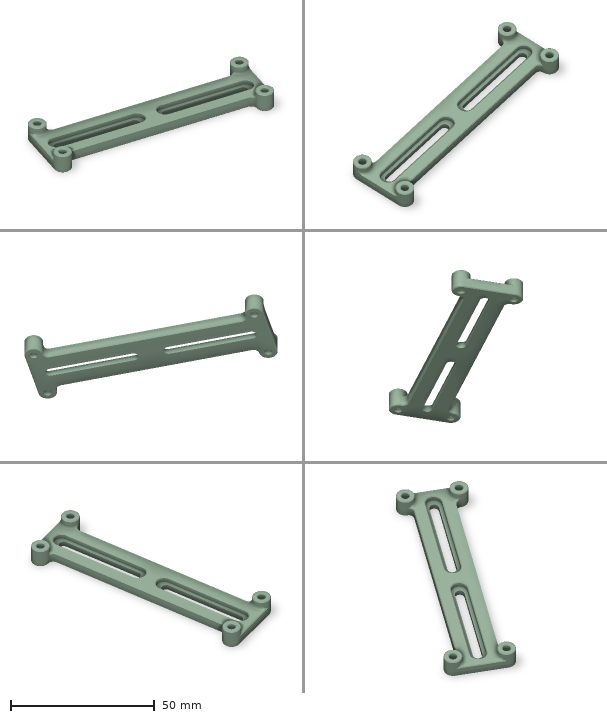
import cadquery as cq
import math

overall_x = 25.6
overall_y = 85.91
post_height = 7.0

plate_thickness = 4.0
bar_width = 15.0
corner_radius = 2.0
edge_chamfer = 0.3
bevel_angle = 45

post_diameter = 6.5
hole_diameter = 2.8
foot_radius = 1.0
foot_top = plate_thickness + foot_radius
post_radius = post_diameter / 2
post_x = overall_x / 2 - post_radius
post_y = overall_y / 2 - post_radius
post_centers = [(sx * post_x, sy * post_y) for sx in (-1, 1) for sy in (-1, 1)]

half_bar = bar_width / 2
blend_x = half_bar + corner_radius
center_distance = post_radius + corner_radius
blend_y = post_y - math.sqrt(center_distance**2 - (blend_x - post_x) ** 2)

slot_center_y = 21.3
slot_width = 3.4
slot_length = 33.4
recess_width = 5.9
recess_length = 37.5
recess_depth = 2.0


def make_outline(height):
    """Bar whose corners end inside the posts, with concave blends, from z = 0 to the given height."""
    share = post_radius / center_distance
    post_tangent = (post_x + share * (blend_x - post_x), post_y + share * (blend_y - post_y))

    end_angle = math.atan2(post_y - blend_y, post_x - blend_x)
    middle_angle = (end_angle + math.pi) / 2
    blend_middle = (
        blend_x + corner_radius * math.cos(middle_angle),
        blend_y + corner_radius * math.sin(middle_angle),
    )
    quarter = (
        cq.Workplane("XY")
        .lineTo(0, overall_y / 2)
        .lineTo(post_x, overall_y / 2)
        .lineTo(post_x, post_y)
        .lineTo(*post_tangent)
        .threePointArc(blend_middle, (half_bar, blend_y))
        .lineTo(half_bar, 0)
        .close()
        .extrude(height)
    )
    half = quarter.union(quarter.mirror("YZ"))
    return half.union(half.mirror("XZ")).clean()


def make_posts():
    """Four plain posts that reach down to the underside of the plate."""
    return cq.Workplane("XY").pushPoints(post_centers).circle(post_radius).extrude(post_height)


def make_feet():
    """Concave rings that blend the posts into the plate top."""
    ring_radius = post_radius + foot_radius
    arc_offset = foot_radius * (1 - math.sqrt(0.5))
    ring = (
        cq.Workplane("XZ")
        .moveTo(0, plate_thickness)
        .lineTo(ring_radius, plate_thickness)
        .threePointArc((post_radius + arc_offset, plate_thickness + arc_offset), (post_radius, foot_top))
        .lineTo(0, foot_top)
        .close()
        .revolve(360, (0, 0, 0), (0, 1, 0))
    )
    feet = cq.Workplane("XY")
    for x, y in post_centers:
        feet = feet.add(ring.translate((x, y, 0)))
    return feet.combine()


def cut_top_bevels(body):
    """45 degree bevels on the -X and -Y sides that stop at the posts and also slice through the feet."""
    start_z = plate_thickness - edge_chamfer
    rise = foot_top - start_z

    def wedge(length):
        """Triangular bar along X whose vertical face lies at y = 0."""
        return (
            cq.Workplane("YZ", origin=(-length / 2, 0, start_z))
            .polyline([(0, 0), (rise, rise), (0, rise)])
            .close()
            .extrude(length)
        )

    front_wedge = wedge(2 * post_x).translate((0, -overall_y / 2, 0))
    side_wedge = wedge(2 * blend_y).rotate((0, 0, 0), (0, 0, 1), -90).translate((-half_bar, 0, 0))
    cutter = front_wedge.union(side_wedge)
    for side in (-1, 1):
        cone = cq.Solid.makeCone(corner_radius, corner_radius + rise, rise)
        cutter = cutter.union(cq.Workplane(cone.translate(cq.Vector(-blend_x, side * blend_y, start_z))))
    return body.cut(cutter.cut(make_posts()))


def cut_post_holes(body):
    """Through holes with a chamfered top rim."""
    holes = cq.Workplane("XY").pushPoints(post_centers).circle(hole_diameter / 2).extrude(post_height)
    rim_radius = hole_diameter / 2 + edge_chamfer
    rims = (
        cq.Workplane("XY", origin=(0, 0, post_height))
        .pushPoints(post_centers)
        .circle(rim_radius)
        .extrude(-edge_chamfer, taper=bevel_angle)
    )
    return body.cut(holes).cut(rims)


def cut_slots(body):
    """Through slots sunk in wider recesses with a chamfered rim."""
    for side in (-1, 1):
        center = (0, side * slot_center_y)
        slot = cq.Workplane("XY").center(*center).slot2D(slot_length, slot_width, 90).extrude(plate_thickness)
        recess = (
            cq.Workplane("XY", origin=(0, 0, plate_thickness))
            .center(*center)
            .slot2D(recess_length, recess_width, 90)
            .extrude(-recess_depth)
        )
        rim = (
            cq.Workplane("XY", origin=(0, 0, plate_thickness))
            .center(*center)
            .slot2D(recess_length + 2 * edge_chamfer, recess_width + 2 * edge_chamfer, 90)
            .extrude(-edge_chamfer, taper=bevel_angle)
        )
        body = body.cut(slot).cut(recess).cut(rim)
    return body


feet = make_feet().intersect(make_outline(foot_top))
body = make_outline(plate_thickness).union(make_posts()).union(feet).clean()
body = cut_top_bevels(body)
body = body.faces("<Z").chamfer(edge_chamfer)
body = body.faces(">Z").chamfer(edge_chamfer)
result = cut_slots(cut_post_holes(body))